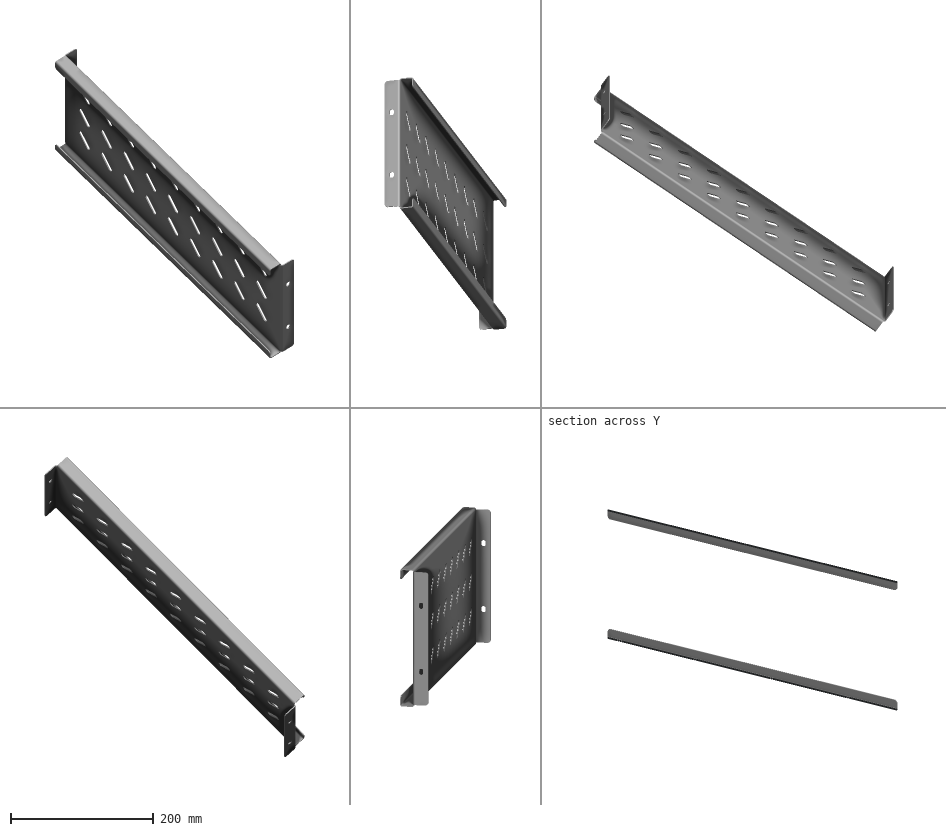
import cadquery as cq

length = 492.0
height = 197.0
sheet = 1.5
inner_radius = 1.7
bend = inner_radius + sheet

depth = 41.0
end_flange_depth = 22.0
web_front = 0.0
web_back = web_front + sheet
rear_edge = web_front + end_flange_depth
front_edge = rear_edge - depth
lip_height = 15.0
corner_radius = 4.5

web_length = length - 2 * bend
web_height = height - 2 * bend

slot_columns = 9
slot_rows = 3
slot_span_x = 400.0
slot_span_z = 100.0
slot_pitch_x = slot_span_x / (slot_columns - 1)
slot_pitch_z = slot_span_z / (slot_rows - 1)
slot_length = 30.5
slot_width = 8.5
slot_angle = -45

mount_spacing = 94.5
mount_from_edge = 10.5
mount_length = 9.0
mount_width = 6.5


def quarter_bend(plane, x_sign, y_sign, span):
    """Quarter ring of sheet in the (x_sign, y_sign) quadrant, with the plane at mid span."""
    start = cq.Workplane(plane).workplane(offset=-span / 2)
    ring = start.circle(bend).circle(inner_radius).extrude(span)
    quadrant = (
        start
        .center(x_sign * bend / 2, y_sign * bend / 2)
        .rect(bend, bend)
        .extrude(span)
    )
    return ring.intersect(quadrant)


def block(x_range, y_range, z_range):
    """Box given by its limits along each axis."""
    ranges = (x_range, y_range, z_range)
    sizes = [high - low for low, high in ranges]
    corner = cq.Vector(*[low for low, high in ranges])
    return cq.Workplane(cq.Solid.makeBox(*sizes, pnt=corner))


def make_web():
    """Flat web with its grid of slanted slots."""
    web = block(
        (-web_length / 2, web_length / 2),
        (web_front, web_back),
        (-web_height / 2, web_height / 2),
    )
    slots = (
        cq.Workplane("XZ")
        .rarray(slot_pitch_x, slot_pitch_z, slot_columns, slot_rows)
        .slot2D(slot_length, slot_width, slot_angle)
        .extrude(depth, both=True)
    )
    return web.cut(slots)


def make_long_flange():
    """Top flange with its two bends and its lip."""
    top = height / 2
    x_range = (-web_length / 2, web_length / 2)
    web_bend_plane = cq.Plane((0, web_back - bend, top - bend), (0, 1, 0), (1, 0, 0))
    lip_bend_plane = cq.Plane((0, front_edge + bend, top - bend), (0, 1, 0), (1, 0, 0))
    flange = block(x_range, (front_edge + bend, web_back - bend), (top - sheet, top))
    lip = (
        block(x_range, (front_edge, front_edge + sheet), (top - lip_height, top - bend))
        .edges("|Y and <Z")
        .fillet(corner_radius)
    )
    return (
        flange
        .union(quarter_bend(web_bend_plane, 1, 1, web_length))
        .union(quarter_bend(lip_bend_plane, -1, 1, web_length))
        .union(lip)
    )


def make_end_flange():
    """End flange on the +X side with its bend and mounting slots."""
    end = length / 2
    bend_plane = cq.Plane((end - bend, web_front + bend, 0), (1, 0, 0), (0, 0, 1))
    flange = (
        block(
            (end - sheet, end),
            (web_front + bend, rear_edge),
            (-web_height / 2, web_height / 2),
        )
        .edges("|X and >Y")
        .fillet(corner_radius)
    )
    mounts = (
        cq.Workplane("YZ", origin=(end, rear_edge - mount_from_edge, 0))
        .rarray(5, mount_spacing, 1, 2)
        .slot2D(mount_length, mount_width, 90)
        .extrude(bend, both=True)
    )
    return flange.cut(mounts).union(quarter_bend(bend_plane, 1, -1, web_height))


long_flange = make_long_flange()
end_flange = make_end_flange()
result = (
    make_web()
    .union(long_flange)
    .union(long_flange.mirror("XY"))
    .union(end_flange)
    .union(end_flange.mirror("YZ"))
)